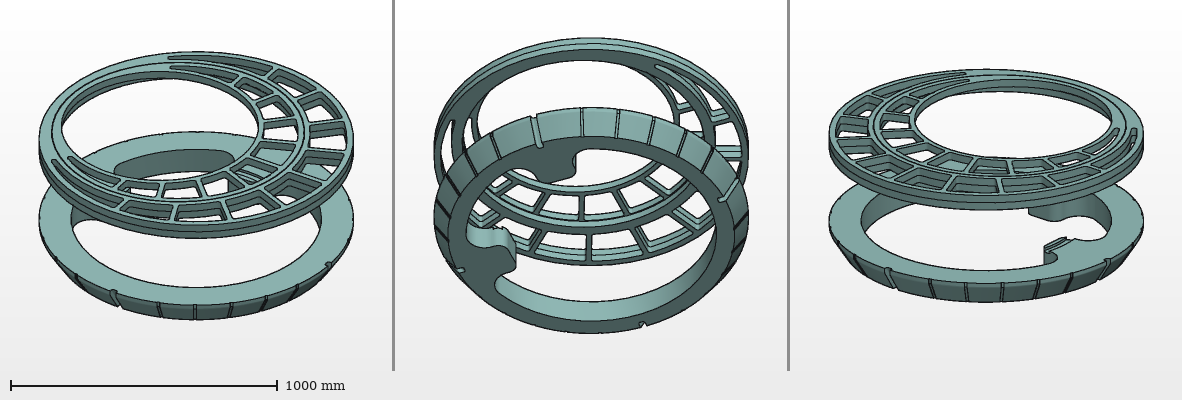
import cadquery as cq
import math

ORIGIN = (0, 0, 0)
Z_AXIS = (0, 0, 1)

TOTAL_HEIGHT = 460.0
BASE_HEIGHT = 100.0
RING_STACK_HEIGHT = 60.0
LAYER_HEIGHT = RING_STACK_HEIGHT / 2
UPPER_LAYER_Z = TOTAL_HEIGHT - LAYER_HEIGHT
LOWER_LAYER_Z = UPPER_LAYER_Z - LAYER_HEIGHT

OUTER_RADIUS = 590.0
SHIFT = 80.0
SEAT_CENTER_X = -SHIFT
BORE_CENTER_X = -2 * SHIFT
SEAT_RADIUS = 950.0 / 2
LEDGE_RADIUS = 910.0 / 2
INNER_RING_RADIUS = 945.0 / 2
INNER_BORE_RADIUS = 740.0 / 2

OUTER_RIM = 25.0
SEAT_RIM = 20.0
INNER_RING_RIM = 22.0
BORE_RIM = 20.0
SPOKE_WIDTH = 20.0
SPOKE_STEP = 22.5
SPOKE_COUNT = 9
WINDOW_FILLET = 10.0

BASE_BOTTOM_RADIUS = 538.0
BASE_BORE_RADIUS = 470.0
LIP_HEIGHT = 19.0
LIP_FILLET = 12.0

TAB_WIDTH = 153.0
TAB_END_RADIUS = 320.0
TAB_CORNER_FILLET = 40.0
TAB_ROOT_FILLET = 70.0
TAB_ANGLES = (90, 180)
TAB_GROOVE_OUTER_RADIUS = 373.0
TAB_GROOVE_INNER_RADIUS = 340.0
TAB_GROOVE_DEPTH = 10.0

GROOVE_WIDTH = 10.0
GROOVE_DEPTH = 4.0
GROOVE_STEP = 13.5
GROOVES_PER_QUADRANT = 5
NOTCH_WIDTH = 25.0
NOTCH_DEPTH = 15.0
NOTCH_FILLET = 7.0
NOTCH_ANGLES = (0, 90, 180, 270)

OVERLAP = 12.0


def disc(center_x, radius, bottom, height):
    return cq.Workplane("XY", origin=(center_x, 0, bottom)).circle(radius).extrude(height)


def spoke_windows(center_x, radius, hub_x, hub_radius, spoke_x, bottom):
    """Crescent between two shifted circles, split by spokes that fan out from spoke_x."""
    crescent = disc(center_x, radius, bottom, LAYER_HEIGHT)
    windows = crescent.cut(disc(hub_x, hub_radius, bottom, LAYER_HEIGHT))
    for index in range(SPOKE_COUNT):
        spoke = (
            cq.Workplane("XY")
            .rect(OUTER_RADIUS, SPOKE_WIDTH)
            .extrude(LAYER_HEIGHT)
            .translate((OUTER_RADIUS / 2, 0, 0))
            .rotate(ORIGIN, Z_AXIS, -90 + index * SPOKE_STEP)
            .translate((spoke_x, 0, bottom))
        )
        windows = windows.cut(spoke)
    return windows.edges("|Z").fillet(WINDOW_FILLET)


def make_outer_ring(bottom, opening_radius):
    ring = disc(0, OUTER_RADIUS, bottom, LAYER_HEIGHT)
    ring = ring.cut(disc(SEAT_CENTER_X, opening_radius, bottom, LAYER_HEIGHT))
    return ring.cut(
        spoke_windows(0, OUTER_RADIUS - OUTER_RIM, SEAT_CENTER_X, SEAT_RADIUS + SEAT_RIM, 0, bottom)
    )


def make_inner_ring():
    ring = disc(SEAT_CENTER_X, INNER_RING_RADIUS, UPPER_LAYER_Z, LAYER_HEIGHT)
    ring = ring.cut(disc(BORE_CENTER_X, INNER_BORE_RADIUS, UPPER_LAYER_Z, LAYER_HEIGHT))
    return ring.cut(
        spoke_windows(
            SEAT_CENTER_X,
            INNER_RING_RADIUS - INNER_RING_RIM,
            BORE_CENTER_X,
            INNER_BORE_RADIUS + BORE_RIM,
            SEAT_CENTER_X,
            UPPER_LAYER_Z,
        )
    )


def base_ring():
    """Ring with a short upright lip above a conical flank, blended by a fillet."""
    lip_bottom = BASE_HEIGHT - LIP_HEIGHT
    flank = cq.Solid.makeCone(BASE_BOTTOM_RADIUS, OUTER_RADIUS, lip_bottom)
    body = cq.Workplane(flank).union(disc(0, OUTER_RADIUS, lip_bottom, LIP_HEIGHT))
    rounded = body.edges("%CIRCLE").edges("not(<Z or >Z)").fillet(LIP_FILLET)
    return rounded.cut(disc(0, BASE_BORE_RADIUS, 0, BASE_HEIGHT))


def tab(angle):
    """Rounded tab with flared roots, pointing inwards from the bore at the given angle."""
    half = TAB_WIDTH / 2
    root_center_distance = BASE_BORE_RADIUS - TAB_ROOT_FILLET
    root_y = half + TAB_ROOT_FILLET
    root_x = math.sqrt(root_center_distance**2 - root_y**2)
    root_angle = math.atan2(root_y, root_x)
    root_mid_angle = (root_angle - math.pi / 2) / 2
    bore_x = BASE_BORE_RADIUS * math.cos(root_angle)
    bore_y = BASE_BORE_RADIUS * math.sin(root_angle)
    anchor_x = BASE_BORE_RADIUS + OVERLAP
    mid_x = root_x + TAB_ROOT_FILLET * math.cos(root_mid_angle)
    mid_y = root_y + TAB_ROOT_FILLET * math.sin(root_mid_angle)
    return (
        cq.Workplane("XY")
        .moveTo(bore_x, bore_y)
        .threePointArc((mid_x, mid_y), (root_x, half))
        .lineTo(TAB_END_RADIUS, half)
        .lineTo(TAB_END_RADIUS, -half)
        .lineTo(root_x, -half)
        .threePointArc((mid_x, -mid_y), (bore_x, -bore_y))
        .lineTo(anchor_x, -bore_y)
        .lineTo(anchor_x, bore_y)
        .close()
        .extrude(BASE_HEIGHT)
        .faces("<X")
        .edges("|Z")
        .fillet(TAB_CORNER_FILLET)
        .rotate(ORIGIN, Z_AXIS, angle)
    )


def tab_groove():
    bottom = BASE_HEIGHT - TAB_GROOVE_DEPTH
    outer = disc(0, TAB_GROOVE_OUTER_RADIUS, bottom, TAB_GROOVE_DEPTH)
    return outer.cut(disc(0, TAB_GROOVE_INNER_RADIUS, bottom, TAB_GROOVE_DEPTH))


def flank_cutter(floor_points, width):
    """Cutter on the +X side that removes everything outside a floor line given from bottom to top."""
    outer_reach = OUTER_RADIUS + OVERLAP
    outside = [(outer_reach, BASE_HEIGHT), (outer_reach, 0)]
    return cq.Workplane("XZ").polyline(floor_points + outside).close().extrude(width / 2, both=True)


def groove_cutter():
    """Shallow groove that follows both the flank and the lip."""
    floor_points = [
        (BASE_BOTTOM_RADIUS - GROOVE_DEPTH, 0),
        (OUTER_RADIUS - GROOVE_DEPTH, BASE_HEIGHT - LIP_HEIGHT),
        (OUTER_RADIUS - GROOVE_DEPTH, BASE_HEIGHT),
    ]
    return flank_cutter(floor_points, GROOVE_WIDTH)


def notch_cutter():
    """Deep notch with a straight floor parallel to the flank and rounded floor corners."""
    flank_slope = (OUTER_RADIUS - BASE_BOTTOM_RADIUS) / (BASE_HEIGHT - LIP_HEIGHT)
    top_radius = OUTER_RADIUS - NOTCH_DEPTH
    floor_points = [
        (top_radius - BASE_HEIGHT * flank_slope, 0),
        (top_radius, BASE_HEIGHT),
    ]
    return flank_cutter(floor_points, NOTCH_WIDTH).faces("<X").edges("not |Y").fillet(NOTCH_FILLET)


def make_base():
    base_body = base_ring()
    for angle in TAB_ANGLES:
        base_body = base_body.union(tab(angle))
    base_body = base_body.cut(tab_groove())
    groove = groove_cutter()
    notch = notch_cutter()
    middle_index = (GROOVES_PER_QUADRANT - 1) / 2
    for notch_angle in NOTCH_ANGLES:
        base_body = base_body.cut(notch.rotate(ORIGIN, Z_AXIS, notch_angle))
        for index in range(GROOVES_PER_QUADRANT):
            groove_angle = notch_angle + 45 + (index - middle_index) * GROOVE_STEP
            base_body = base_body.cut(groove.rotate(ORIGIN, Z_AXIS, groove_angle))
    return base_body


base = make_base()
lower_ring = make_outer_ring(LOWER_LAYER_Z, LEDGE_RADIUS)
upper_ring = make_outer_ring(UPPER_LAYER_Z, SEAT_RADIUS)
inner_ring = make_inner_ring()

result = cq.Compound.makeCompound([base.val(), lower_ring.val(), upper_ring.val(), inner_ring.val()])